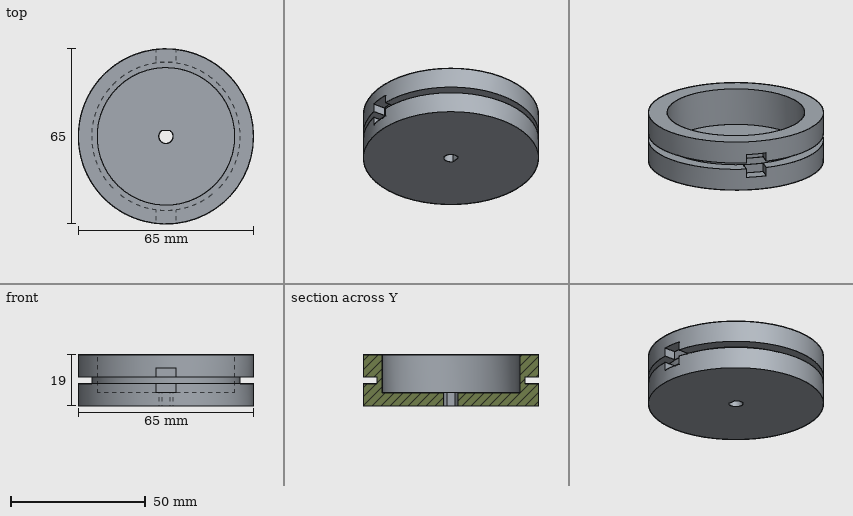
import cadquery as cq

outer_diameter = 65.0
height = 19.0

recess_diameter = 51.0
floor_thickness = 5.0

groove_width = 2.5
groove_diameter = 55.0

notch_width = 7.5
notch_height = 9.0
notch_back_offset = 27.5

shaft_diameter = 5.2
shaft_flat_offset = 2.1


def make_body():
    """Cylindrical cup with a flat floor."""
    body = cq.Workplane("XY").circle(outer_diameter / 2).extrude(height)
    recess = (
        cq.Workplane("XY")
        .workplane(offset=floor_thickness)
        .circle(recess_diameter / 2)
        .extrude(height - floor_thickness)
    )
    return body.cut(recess)


def make_groove():
    """Ring removed from the rim to form the groove."""
    return (
        cq.Workplane("XY")
        .workplane(offset=(height - groove_width) / 2)
        .circle(outer_diameter / 2)
        .circle(groove_diameter / 2)
        .extrude(groove_width)
    )


def make_notch(side):
    """Block that opens the rim down to a flat back; side is -1 for -Y, +1 for +Y."""
    notch_depth = outer_diameter / 2 - notch_back_offset
    return (
        cq.Workplane("XY")
        .box(notch_width, notch_depth, notch_height)
        .translate((0, side * (notch_back_offset + notch_depth / 2), height / 2))
    )


def make_shaft_hole():
    """Round bore with one flat."""
    bore = cq.Workplane("XY").circle(shaft_diameter / 2).extrude(floor_thickness)
    bore_below_flat = (
        cq.Workplane("XY")
        .box(
            shaft_diameter,
            shaft_diameter / 2 + shaft_flat_offset,
            floor_thickness,
            centered=(True, False, False),
        )
        .translate((0, -shaft_diameter / 2, 0))
    )
    return bore.intersect(bore_below_flat)


result = make_body().cut(make_groove())
for notch_side in (-1, 1):
    result = result.cut(make_notch(notch_side))
result = result.cut(make_shaft_hole())